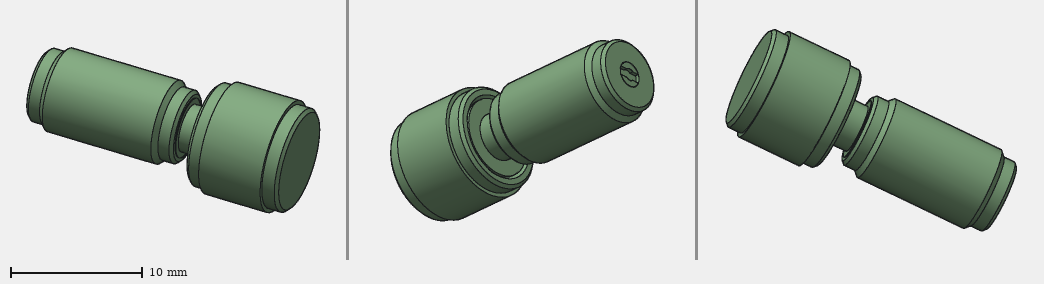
import cadquery as cq

length = 21.5

body_dia = 6.66
shoulder_dia = 5.85
end_chamfer = 0.25
shoulder_length = 1.18
body_slope = (body_dia - shoulder_dia) / 2
barrel_length = 12.2

collar_dia = 4.75
collar_thickness = 0.06
neck_dia = 3.8

head_start = 13.86
head_dia = 8.25
head_chamfer = 0.25
band_dia = 8.9
band_start = 15.09
band_end = 20.2

recess_mouth_dia = 6.81
recess_floor_dia = 6.3
recess_depth = 0.32
disc_height = 0.24

groove_outer_dia = 2.06
groove_inner_dia = 2.0
slot_width = 0.73
slot_center_dia = 0.99
slot_depth = 0.3


def cylinder(diameter, start, end):
    return cq.Workplane("YZ", origin=(start, 0, 0)).circle(diameter / 2).extrude(end - start)


def make_barrel():
    ends = cylinder(shoulder_dia, 0, barrel_length).faces("<X or >X").chamfer(end_chamfer)
    body = cylinder(body_dia, shoulder_length, barrel_length - shoulder_length)
    body = body.faces("<X or >X").chamfer(body_slope)
    return ends.union(body)


def make_head():
    core = cylinder(head_dia, head_start, length).faces("<X or >X").chamfer(head_chamfer)
    recess = (
        cq.Workplane("YZ", origin=(head_start, 0, 0))
        .circle(recess_mouth_dia / 2)
        .workplane(offset=recess_depth)
        .circle(recess_floor_dia / 2)
        .loft(ruled=True)
    )
    floor = head_start + recess_depth
    disc = cylinder(recess_floor_dia, floor - disc_height, floor)
    band = cylinder(band_dia, band_start, band_end)
    return core.union(band).cut(recess).union(disc)


def make_slot():
    bore = cylinder(groove_outer_dia, 0, slot_depth)
    groove = bore.cut(cylinder(groove_inner_dia, 0, slot_depth))
    slot = cq.Workplane("YZ").rect(groove_outer_dia, slot_width).extrude(slot_depth).intersect(bore)
    return groove.union(slot).union(cylinder(slot_center_dia, 0, slot_depth))


collar = cylinder(collar_dia, barrel_length, barrel_length + collar_thickness)
neck = cylinder(neck_dia, barrel_length, head_start + recess_depth)

result = make_barrel().union(collar).union(make_head()).union(neck).cut(make_slot())